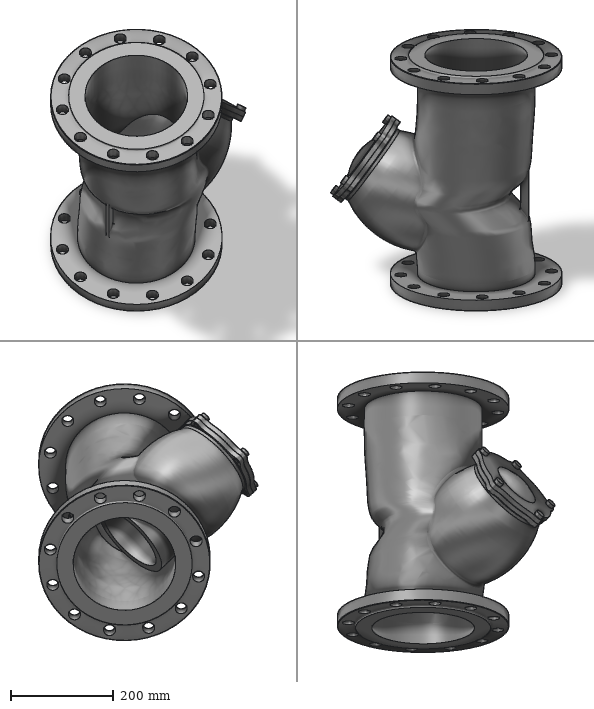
import cadquery as cq
import math

face_to_face = 475.0
half_length = face_to_face / 2
wall = 15.0
bore_radius = 100.0
pipe_radius = bore_radius + wall

flange_diameter = 335.0
flange_thickness = 26.0
flange_edge_chamfer = 1.0
raised_face_diameter = 264.0
raised_face_height = 3.5
raised_face_root_fillet = 3.0
bolt_circle_diameter = 295.0
flange_hole_diameter = 23.0
flange_hole_count = 12

straight_top_z = 161.5
straight_bottom_z = -196.5

waist_path = [
    (0.0, straight_top_z),
    (1.0, 120.0),
    (5.0, 66.0),
    (9.0, 14.0),
    (21.0, -16.0),
    (40.0, -33.0),
    (47.0, -48.0),
    (40.0, -62.0),
    (15.0, -89.0),
    (6.0, -145.0),
    (0.0, straight_bottom_z),
]

rib_thickness = 6.0
rib_depth = 15.0
rib_front_y = -104.0
rib_top_z = 25.0
rib_bottom_z = -125.0
rib_root_fillet = 1.5

branch_elevation = 35.0
branch_center_y = 134.4
branch_center_z = -50.6
neck_radius = 85.0
bulb_radius = 106.0
bulb_half_length = 83.5
tail_end = -148.5
bulb_root_fillet = 8.0
bulb_seam_middle = (0.0, 101.0, -56.0)

cover_seat = 101.5
lug_flange_thickness = 10.0
lug_flange_radius = 87.0
lug_root_fillet = 1.5
cover_thickness = 10.0
lug_flange_base = cover_seat - lug_flange_thickness
cover_top = cover_seat + cover_thickness
cover_radius = 89.0
lug_radius = 12.0
lug_blend_radius = 40.0
dome_radius = 48.5
dome_height = 12.0

cover_bolt_count = 5
cover_bolt_circle_radius = 90.0
bolt_head_diameter = 18.0
bolt_head_height = 7.5
bolt_shank_diameter = 12.0


def branch_plane(distance):
    """Plane square to the branch axis, measured from the bulb centre; local +X is the low side."""
    angle = math.radians(branch_elevation)
    axis = cq.Vector(0, math.cos(angle), math.sin(angle))
    low_side = (0, math.sin(angle), -math.cos(angle))
    origin = cq.Vector(0, branch_center_y, branch_center_z) + axis * distance
    return cq.Plane(origin=origin.toTuple(), xDir=low_side, normal=axis.toTuple())


def turn_on_branch(profile):
    """Turn a closed (radius, distance) profile into a solid on the branch axis."""
    turned = profile.revolve(360, (0, 0), (0, 1))
    turned = turned.rotate((0, 0, 0), (1, 0, 0), branch_elevation)
    return turned.translate((0, branch_center_y, branch_center_z))


def run_solid(radius):
    """Solid pipe run: a circle carried along the waist without tilting, plus straight ends."""
    upper = cq.Workplane("XY", origin=(0, 0, straight_top_z)).circle(radius)
    upper = upper.extrude(half_length - straight_top_z)
    lower = cq.Workplane("XY", origin=(0, 0, -half_length)).circle(radius)
    lower = lower.extrude(half_length + straight_bottom_z)
    downwards = (0, -1)
    path = cq.Workplane("YZ").spline(waist_path, tangents=[downwards, downwards])
    waist = cq.Workplane("XY", origin=(0, 0, straight_top_z)).circle(radius)
    waist = waist.sweep(path, normal=(0, 0, 1))
    return waist.union(upper).union(lower)


def branch_solid(inset):
    """Tail, bulb and neck of the branch, with every radius reduced by the inset."""
    radius = neck_radius - inset
    profile = (
        cq.Workplane("XY")
        .moveTo(0, tail_end)
        .lineTo(radius, tail_end)
        .lineTo(radius, -bulb_half_length)
        .threePointArc((bulb_radius - inset, 0), (radius, bulb_half_length))
        .lineTo(radius, cover_seat)
        .lineTo(0, cover_seat)
        .close()
    )
    return turn_on_branch(profile)


def end_flange():
    """Upper flange with its raised face and bolt holes."""
    root_z = half_length - raised_face_height
    disc = cq.Workplane("XY", origin=(0, 0, half_length - flange_thickness))
    disc = disc.circle(flange_diameter / 2).extrude(flange_thickness - raised_face_height)
    disc = disc.faces(">Z").chamfer(flange_edge_chamfer)
    face_radius = raised_face_diameter / 2
    face = cq.Workplane("XY", origin=(0, 0, root_z)).circle(face_radius)
    blank = disc.union(face.extrude(raised_face_height))
    face_circles = blank.edges("%CIRCLE").filter(lambda edge: math.isclose(edge.radius(), face_radius))
    blank = face_circles.edges("<Z").fillet(raised_face_root_fillet)
    holes = (
        cq.Workplane("XY", origin=(0, 0, half_length - flange_thickness))
        .polarArray(bolt_circle_diameter / 2, 180 / flange_hole_count, 360, flange_hole_count)
        .circle(flange_hole_diameter / 2)
        .extrude(flange_thickness)
    )
    return blank.cut(holes)


def cover_bolt_pattern(distance):
    """Centres of the cover bolts; the first sits on the low side of the branch."""
    pattern = cq.Workplane(branch_plane(distance))
    return pattern.polarArray(cover_bolt_circle_radius, 0, 360, cover_bolt_count)


def lugged_disc(distance, radius, thickness):
    """Round plate with a blended lug around every cover bolt."""
    plane = branch_plane(distance)
    disc = cq.Workplane(plane).circle(radius).extrude(thickness)
    lugs = cover_bolt_pattern(distance).circle(lug_radius).extrude(thickness)
    plate = disc.union(lugs)

    def is_lug_corner(edge):
        local = plane.toLocalCoords(edge.Center())
        return math.hypot(local.x, local.y) < cover_bolt_circle_radius

    corners = plate.edges(cq.ParallelDirSelector(plane.zDir)).filter(is_lug_corner)
    return corners.fillet(lug_blend_radius)


def cover_bolt_shanks(distance, depth):
    """Cylinders that serve both as the bolt shanks and as the holes around them."""
    return cover_bolt_pattern(distance).circle(bolt_shank_diameter / 2).extrude(depth)


def tie_rib():
    """Flat bar across the notch, with both ends buried in the pipe."""
    rib = cq.Workplane("XY").box(
        rib_thickness, rib_depth, rib_top_z - rib_bottom_z, centered=(True, False, False)
    )
    return rib.translate((0, rib_front_y, rib_bottom_z))


def rib_surroundings():
    """Box around the rib that picks out the edges where it meets the pipe."""
    margin = rib_thickness / 2
    low_corner = (-rib_thickness, rib_front_y - margin, rib_bottom_z)
    high_corner = (rib_thickness, rib_front_y + rib_depth + margin, rib_top_z)
    return cq.selectors.BoxSelector(low_corner, high_corner)


def make_housing():
    """Hollow pipe and branch in one piece; the tail of the branch stands inside the bore."""
    branch = branch_solid(0)
    body = run_solid(pipe_radius).union(branch)
    body = body.edges(cq.NearestToPointSelector(bulb_seam_middle)).fillet(bulb_root_fillet)

    body = body.union(tie_rib())
    body = body.edges(rib_surroundings()).edges("%BSPLINE").fillet(rib_root_fillet)

    body = body.union(lugged_disc(lug_flange_base, lug_flange_radius, lug_flange_thickness))
    lug_root = cq.NearestToPointSelector(branch_plane(lug_flange_base).origin.toTuple())
    body = body.edges(lug_root).fillet(lug_root_fillet)

    top_flange = end_flange()
    body = body.union(top_flange).union(top_flange.mirror("XY"))
    body = body.cut(run_solid(bore_radius).cut(branch))
    body = body.cut(branch_solid(wall))
    return body.cut(cover_bolt_shanks(lug_flange_base, lug_flange_thickness))


def make_cover():
    """Lugged plate with a shallow spherical dome."""
    plate = lugged_disc(cover_seat, cover_radius, cover_thickness)
    plate = plate.cut(cover_bolt_shanks(cover_seat, cover_thickness))
    sphere_radius = (dome_radius**2 + dome_height**2) / (2 * dome_height)
    half_angle = math.asin(dome_radius / sphere_radius) / 2
    midway = (
        sphere_radius * math.sin(half_angle),
        cover_top + dome_height - sphere_radius * (1 - math.cos(half_angle)),
    )
    profile = (
        cq.Workplane("XY")
        .moveTo(0, cover_top)
        .lineTo(dome_radius, cover_top)
        .threePointArc(midway, (0, cover_top + dome_height))
        .close()
    )
    return plate.union(turn_on_branch(profile))


def make_cover_bolts():
    """Round-headed bolts that end flush with the underside of the lug flange."""
    heads = cover_bolt_pattern(cover_top).circle(bolt_head_diameter / 2).extrude(bolt_head_height)
    shank_length = lug_flange_thickness + cover_thickness
    shanks = cover_bolt_shanks(lug_flange_base, shank_length)
    return heads.union(shanks)


housing = make_housing()
cover = make_cover()
cover_bolts = make_cover_bolts()

result = cq.Compound.makeCompound(
    [housing.solids().val(), cover.solids().val(), *cover_bolts.solids().vals()]
)